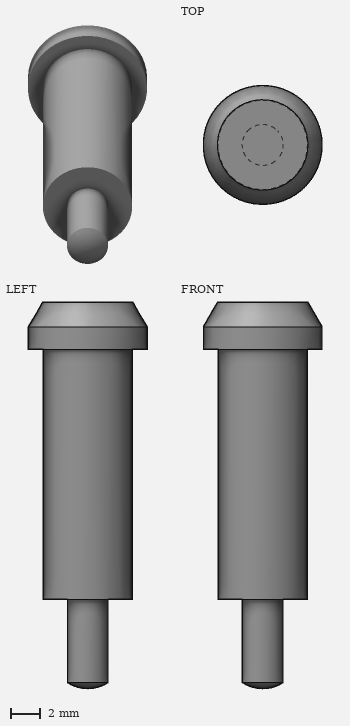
import cadquery as cq

total_length = 26.0

barrel_diameter = 6.0
head_diameter = 8.0
head_top_diameter = 6.08
taper_height = 1.66
rim_height = 1.5

pin_diameter = 2.75
pin_length = 6.0
dome_height = 0.42

rim_top = total_length - taper_height
rim_bottom = rim_top - rim_height


def make_housing():
    """Revolve the half profile of the barrel and head about Z."""
    return (
        cq.Workplane("XZ")
        .moveTo(0, pin_length)
        .lineTo(barrel_diameter / 2, pin_length)
        .lineTo(barrel_diameter / 2, rim_bottom)
        .lineTo(head_diameter / 2, rim_bottom)
        .lineTo(head_diameter / 2, rim_top)
        .lineTo(head_top_diameter / 2, total_length)
        .lineTo(0, total_length)
        .close()
        .revolve(360, (0, 0), (0, 1))
    )


def make_pin():
    """Revolve the half profile of the rod, its tip a shallow spherical cap."""
    pin_radius = pin_diameter / 2
    dome_radius = (pin_radius**2 + dome_height**2) / (2 * dome_height)
    return (
        cq.Workplane("XZ")
        .moveTo(0, 0)
        .radiusArc((pin_radius, dome_height), -dome_radius)
        .lineTo(pin_radius, pin_length)
        .lineTo(0, pin_length)
        .close()
        .revolve(360, (0, 0), (0, 1))
    )


housing = make_housing()
pin = make_pin()

result = cq.Compound.makeCompound([housing.val(), pin.val()])